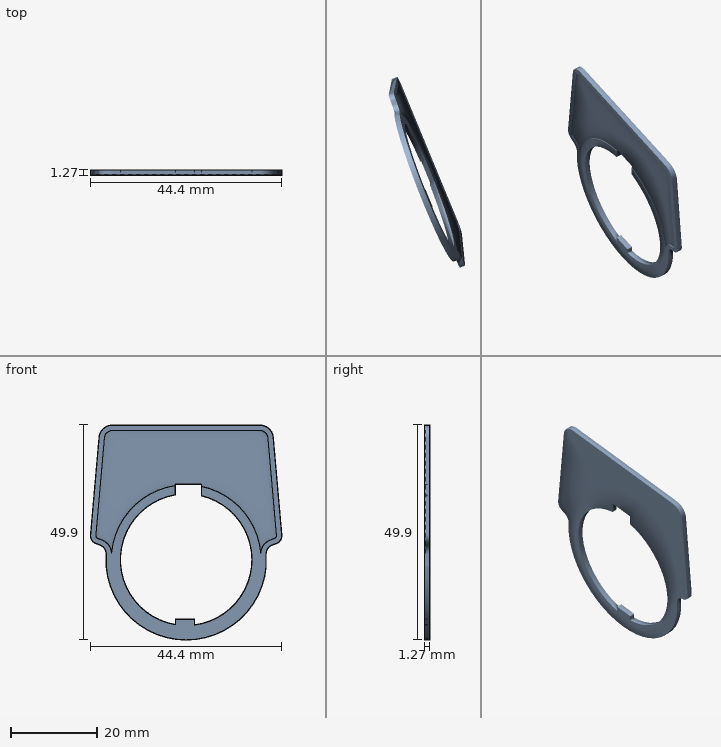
import cadquery as cq
import math

thickness = 1.27
height = 49.91
width = 44.44
ring_radius = 18.65
hole_radius = 15.24

top_z = height - ring_radius
side_lean = math.radians(5)
top_corner_radius = 3.15
shoulder_slope = math.radians(20)
shoulder_corner_radius = 2.0
shoulder_corner_z = 4.25
neck_radius = 2.2
neck_half_width = 18.58

shoulder_corner_angle = math.pi / 2 - side_lean + shoulder_slope
tip_tangent_length = shoulder_corner_radius / math.tan(shoulder_corner_angle / 2)
tip_overhang = tip_tangent_length * math.sin(side_lean) - shoulder_corner_radius * (1 - math.cos(side_lean))
side_corner_x = width / 2 + tip_overhang

rim_width = 1.27
recess_depth = 0.2

key_left_x = -2.5
notch_right_x = 3.55
notch_top_z = 17.47
key_right_x = 1.97
key_top_z = -13.8


def front_plane():
    """XZ sketch plane on the front face; a negative extrusion runs toward +Y, into the plate."""
    return cq.Workplane(cq.Plane(origin=(0, 0, 0), xDir=(1, 0, 0), normal=(0, -1, 0)))


def box_between(left, right, bottom, top, depth):
    """Block from the front face back to the given depth."""
    center = ((left + right) / 2, (bottom + top) / 2)
    return front_plane().center(*center).rect(right - left, top - bottom).extrude(-depth)


def disc(radius, depth):
    return front_plane().circle(radius).extrude(-depth)


def round_corners(body, x, z, radius):
    """Round the mirrored pair of through-thickness edges at (+x, z) and (-x, z)."""
    reach = 0.01
    for side in (-1, 1):
        corner = cq.selectors.BoxSelector(
            (side * x - reach, -reach, z - reach),
            (side * x + reach, thickness + reach, z + reach),
        )
        body = body.edges(corner).fillet(radius)
    return body


def outline_blank():
    """Flat plate with leaning sides and sloped shoulders running into the round ring."""
    top_corner_x = side_corner_x - (top_z - shoulder_corner_z) * math.tan(side_lean)
    neck_z = shoulder_corner_z - (side_corner_x - neck_half_width) * math.tan(shoulder_slope)
    ring_start_z = -math.sqrt(ring_radius**2 - neck_half_width**2)
    blank = (
        front_plane()
        .moveTo(-top_corner_x, top_z)
        .lineTo(top_corner_x, top_z)
        .lineTo(side_corner_x, shoulder_corner_z)
        .lineTo(neck_half_width, neck_z)
        .lineTo(neck_half_width, ring_start_z)
        .threePointArc((0, -ring_radius), (-neck_half_width, ring_start_z))
        .lineTo(-neck_half_width, neck_z)
        .lineTo(-side_corner_x, shoulder_corner_z)
        .close()
        .extrude(-thickness)
    )
    blank = round_corners(blank, top_corner_x, top_z, top_corner_radius)
    blank = round_corners(blank, side_corner_x, shoulder_corner_z, shoulder_corner_radius)
    return round_corners(blank, neck_half_width, neck_z, neck_radius)


def label_recess(blank):
    """Recess set in from the plate edge by the rim and stopping at the ring."""
    outer_wire = blank.faces("<Y").wires().val()
    inner_wire = outer_wire.offset2D(-rim_width)[0]
    pocket = front_plane().add(inner_wire).toPending().extrude(-recess_depth)
    upper_half = box_between(-width, width, 0, height, recess_depth)
    return pocket.intersect(upper_half).cut(disc(ring_radius - rim_width, recess_depth))


def ring_opening():
    """Round hole with a notch at the top and a key left standing at the bottom."""
    notch = box_between(key_left_x, notch_right_x, 0, notch_top_z, thickness)
    key = box_between(key_left_x, key_right_x, -ring_radius, key_top_z, thickness)
    return disc(hole_radius, thickness).union(notch).cut(key)


plate = outline_blank()
result = plate.cut(label_recess(plate)).cut(ring_opening())